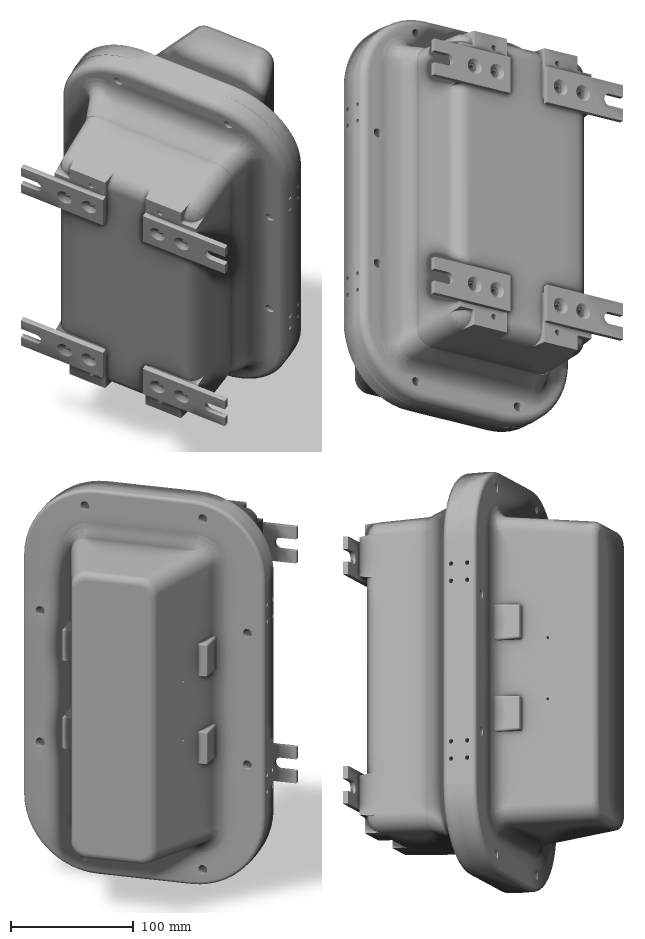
import cadquery as cq
import math

SIDES = (-1, 1)
QUADRANTS = [(side_x, side_z) for side_x in SIDES for side_z in SIDES]
TINY = 0.3
CLEARANCE = 3.3

FLANGE_HALF_X = 103.5
FLANGE_HALF_Z = 166.0
FLANGE_DRAFT = 1.0
HOUSING_FLANGE_DEPTH = 15.0
HOUSING_FLANGE_CORNER = 64.5
HOUSING_FLANGE_ROUND = 6.0
COVER_FLANGE_DEPTH = 14.3
COVER_FLANGE_CORNER = 63.5
COVER_FLANGE_ROUND = 3.0

FLANGE_HOLE_D = 7.5
END_HOLE_X, END_HOLE_Z = 50.5, 151.5
SIDE_HOLE_X, SIDE_HOLE_Z = 88.7, 56.8
EDGE_HOLE_D = 3.5
EDGE_HOLE_DEPTH = 8.3
EDGE_HOLE_Y = 7.0
EDGE_HOLE_Z = (66.5, 80.7)

NECK_END_Y = -40.2
NECK_DRAFT = 18.5
TUB_HALF_X, TUB_HALF_Z = 67.0, 130.0
TUB_DRAFT = 2.0
TUB_FRONT_Y = -95.5
TUB_CORNER_ROUND = 13.3
TUB_FRONT_ROUND = 12.0
NECK_ROUND = 12.0

FOOT_Y = -98.7
FOOT_ROOT_Y = -83.0
FOOT_DRAFT = 7.0
FOOT_CORNER_ROUND = 5.0
FOOT_INNER_X, FOOT_INNER_Z = 16.5, 80.5
FOOT_NOTCH_X, FOOT_NOTCH_Z = 53.0, 117.0
FOOT_HOLE_D = 5.0
FOOT_HOLE_DEPTH = 10.0
FOOT_HOLE_Z = 117.0
DRILL_POINT_ANGLE = 118.0

BRACKET_THICKNESS = 4.3
BRACKET_INNER_X, BRACKET_OUTER_X = 18.3, 93.7
BRACKET_HEIGHT = 31.2
BRACKET_Z = 95.0
SCREW_X = (31.5, 53.8)
SCREW_HOLE_D = 7.3
COUNTERSINK_D = 13.5
COUNTERSINK_ANGLE = 90.0
SLOT_WIDTH = 10.3
SLOT_END_X = 75.0

DOME_TOP_Y = 95.7
DOME_TOP_HALF_X, DOME_TOP_HALF_Z = 35.2, 123.3
DOME_DRAFT_X, DOME_DRAFT_Z = 18.4, 3.2
DOME_CORNER_ROUND = 13.0
DOME_TOP_ROUND = 6.0
DOME_ROOT_ROUND = 10.0
LUG_TOP_Y = 38.0
LUG_HALF_X = 63.8
LUG_WIDTH = 31.2
LUG_Z = 38.0
LUG_DRAFT = 2.5
LUG_ROUND = 1.5
PIN_HOLE_D = 2.2
PIN_HOLE_DEPTH = 6.5
PIN_HOLE_Y, PIN_HOLE_Z = 57.5, 25.42


def widening(length, draft):
    """Sideways run of a wall of the given length at the given draft angle."""
    return length * math.tan(math.radians(draft))


def drafted_block(low_y, low_half, high_y, high_half):
    """Four-sided block between two rectangles, given as (half X, half Z), at low_y and high_y."""
    low_x, low_z = low_half
    high_x, high_z = high_half
    block = cq.Solid.makeWedge(
        2 * low_x, high_y - low_y, 2 * low_z,
        low_x - high_x, low_z - high_z, low_x + high_x, low_z + high_z,
    )
    return cq.Workplane(block.translate(cq.Vector(-low_x, low_y, -low_z)))


def round_wall_corners(body, radius):
    """Round the edges that run along Y between neighbouring walls."""
    corners = body.edges().filter(lambda edge: edge.BoundingBox().ylen > TINY)
    return corners.fillet(radius)


def round_root(body, plane_y, half_x, half_z, radius):
    """Round the concave edge where a drafted wall meets the flange face."""
    slab = cq.selectors.BoxSelector(
        (-half_x, plane_y - TINY, -half_z), (half_x, plane_y + TINY, half_z), boundingbox=True
    )
    return body.edges(slab).fillet(radius)


def flange(depth, corner, edge_round):
    """Rounded flange plate on the +Y side of the joint plane; its outer face is edge-rounded."""
    plate = (
        cq.Workplane("XZ")
        .sketch()
        .rect(2 * FLANGE_HALF_X, 2 * FLANGE_HALF_Z)
        .vertices()
        .fillet(corner)
        .finalize()
        .extrude(depth, taper=FLANGE_DRAFT)
    )
    return plate.faces("<Y").edges().fillet(edge_round).mirror("XZ")


def rod_along_y(diameter, x, z, start_y, end_y):
    """Round rod along Y, centred on the given X and Z."""
    return cq.Workplane("XZ", origin=(x, start_y, z)).circle(diameter / 2).extrude(start_y - end_y)


def cut_flange_holes(body, depth_y):
    """Through holes near the ends and along the long sides of the flange."""
    for side_x, side_z in QUADRANTS:
        for x, z in ((END_HOLE_X, END_HOLE_Z), (SIDE_HOLE_X, SIDE_HOLE_Z)):
            body = body.cut(rod_along_y(FLANGE_HOLE_D, side_x * x, side_z * z, 0, depth_y))
    return body


def cut_edge_holes(body, y):
    """Blind holes drilled along X into both long edges of the flange."""
    for side_x, side_z in QUADRANTS:
        for z in EDGE_HOLE_Z:
            start = (side_x * FLANGE_HALF_X, y, side_z * z)
            drill = cq.Workplane("YZ", origin=start).circle(EDGE_HOLE_D / 2)
            body = body.cut(drill.extrude(-side_x * EDGE_HOLE_DEPTH))
    return body


def tub_half_sizes(y):
    """Half X and half Z of the housing box at y, before its corners are rounded."""
    narrowing = widening(NECK_END_Y - y, TUB_DRAFT)
    return TUB_HALF_X - narrowing, TUB_HALF_Z - narrowing


def tub():
    """Neck and box with rounded wall corners and a rounded front."""
    flare = widening(NECK_END_Y + HOUSING_FLANGE_DEPTH, -NECK_DRAFT)
    neck_top = (TUB_HALF_X + flare, TUB_HALF_Z + flare)
    tub_rim = (TUB_HALF_X, TUB_HALF_Z)
    neck = drafted_block(NECK_END_Y, tub_rim, -HOUSING_FLANGE_DEPTH, neck_top)
    box = drafted_block(TUB_FRONT_Y, tub_half_sizes(TUB_FRONT_Y), NECK_END_Y, tub_rim)
    neck = round_wall_corners(neck, TUB_CORNER_ROUND)
    box = round_wall_corners(box, TUB_CORNER_ROUND)
    return neck.union(box.faces("<Y").edges().fillet(TUB_FRONT_ROUND))


def blind_hole(x, z):
    """Drilled hole with a conical bottom, opening on the foot face."""
    radius = FOOT_HOLE_D / 2
    point = radius / math.tan(math.radians(DRILL_POINT_ANGLE / 2))
    profile = [(0, 0), (radius, 0), (radius, FOOT_HOLE_DEPTH), (0, FOOT_HOLE_DEPTH + point)]
    drill = cq.Workplane("XY").polyline(profile).close().revolve(360, (0, 0, 0), (0, 1, 0))
    return drill.translate((x, FOOT_Y, z))


def feet():
    """Four L-shaped feet, flush with the tub walls and notched at the rounded tub corners."""
    envelope = drafted_block(
        FOOT_Y, tub_half_sizes(FOOT_Y), FOOT_ROOT_Y, tub_half_sizes(FOOT_ROOT_Y)
    )
    beyond_x, beyond_z = TUB_HALF_X + CLEARANCE, TUB_HALF_Z + CLEARANCE
    outline = [
        (FOOT_INNER_X, FOOT_INNER_Z),
        (beyond_x, FOOT_INNER_Z),
        (beyond_x, FOOT_NOTCH_Z),
        (FOOT_NOTCH_X, FOOT_NOTCH_Z),
        (FOOT_NOTCH_X, beyond_z),
        (FOOT_INNER_X, beyond_z),
    ]
    inner_corner = (FOOT_INNER_X, (FOOT_ROOT_Y + FOOT_Y) / 2, FOOT_INNER_Z)
    foot = (
        cq.Workplane("XZ", origin=(0, FOOT_ROOT_Y, 0))
        .polyline(outline)
        .close()
        .extrude(FOOT_ROOT_Y - FOOT_Y, taper=FOOT_DRAFT)
        .edges(cq.selectors.NearestToPointSelector(inner_corner))
        .fillet(FOOT_CORNER_ROUND)
        .intersect(envelope)
    )
    pair = foot.union(foot.mirror("YZ"))
    return pair.union(pair.mirror("XY"))


def make_housing():
    """Housing: flange plate, tub and feet, with its bolt, edge and screw holes."""
    plate = flange(HOUSING_FLANGE_DEPTH, HOUSING_FLANGE_CORNER, HOUSING_FLANGE_ROUND).mirror("XZ")
    body = plate.union(tub())
    body = round_root(body, -HOUSING_FLANGE_DEPTH, SIDE_HOLE_X, END_HOLE_Z, NECK_ROUND)
    body = body.union(feet())
    for side_x, side_z in QUADRANTS:
        body = body.cut(blind_hole(side_x * SCREW_X[0], side_z * FOOT_HOLE_Z))
        for x in SCREW_X:
            body = body.cut(blind_hole(side_x * x, side_z * BRACKET_Z))
    body = cut_flange_holes(body, -HOUSING_FLANGE_DEPTH)
    return cut_edge_holes(body, -EDGE_HOLE_Y)


def lugs():
    """Two bars across the dome whose ends stand out as lugs on its long sides."""
    bar = (
        cq.Workplane("XZ")
        .rect(2 * LUG_HALF_X, LUG_WIDTH)
        .extrude(LUG_TOP_Y, taper=LUG_DRAFT)
        .mirror("XZ")
    )
    bar = round_wall_corners(bar, LUG_ROUND)
    bar = bar.faces(">Y").edges().fillet(LUG_ROUND / 2)
    return [bar.translate((0, 0, side_z * LUG_Z)) for side_z in SIDES]


def make_cover():
    """Cover: flange plate, drafted dome and lugs, with its bolt, edge and pin holes."""
    height = DOME_TOP_Y - COVER_FLANGE_DEPTH
    dome_root = (
        DOME_TOP_HALF_X + widening(height, DOME_DRAFT_X),
        DOME_TOP_HALF_Z + widening(height, DOME_DRAFT_Z),
    )
    dome_top = (DOME_TOP_HALF_X, DOME_TOP_HALF_Z)
    dome = drafted_block(COVER_FLANGE_DEPTH, dome_root, DOME_TOP_Y, dome_top)
    dome = round_wall_corners(dome, DOME_CORNER_ROUND)
    dome = dome.faces(">Y").edges().fillet(DOME_TOP_ROUND)
    body = flange(COVER_FLANGE_DEPTH, COVER_FLANGE_CORNER, COVER_FLANGE_ROUND).union(dome)
    body = round_root(body, COVER_FLANGE_DEPTH, SIDE_HOLE_X, END_HOLE_Z, DOME_ROOT_ROUND)
    for lug in lugs():
        body = body.union(lug)
    wall_x = DOME_TOP_HALF_X + widening(DOME_TOP_Y - PIN_HOLE_Y, DOME_DRAFT_X)
    for side_x, side_z in QUADRANTS:
        start = (side_x * (wall_x + CLEARANCE), PIN_HOLE_Y, side_z * PIN_HOLE_Z)
        drill = cq.Workplane("YZ", origin=start).circle(PIN_HOLE_D / 2)
        body = body.cut(drill.extrude(-side_x * (PIN_HOLE_DEPTH + CLEARANCE)))
    body = cut_flange_holes(body, COVER_FLANGE_DEPTH)
    return cut_edge_holes(body, EDGE_HOLE_Y)


def make_bracket(side_x, side_z):
    """Flat bar with two countersunk screw holes and an open slot at its outer end."""
    length = BRACKET_OUTER_X - BRACKET_INNER_X
    middle_x = (BRACKET_OUTER_X + BRACKET_INNER_X) / 2
    bar = (
        cq.Workplane("XZ", origin=(middle_x, FOOT_Y, BRACKET_Z))
        .rect(length, BRACKET_HEIGHT)
        .extrude(BRACKET_THICKNESS)
    )
    bar = (
        bar.faces("<Y")
        .workplane(origin=(0, FOOT_Y - BRACKET_THICKNESS, BRACKET_Z))
        .pushPoints([(x, 0) for x in SCREW_X])
        .cskHole(SCREW_HOLE_D, COUNTERSINK_D, COUNTERSINK_ANGLE)
    )
    slot_length = 2 * (BRACKET_OUTER_X - SLOT_END_X)
    slot = (
        cq.Workplane("XZ", origin=(BRACKET_OUTER_X, FOOT_Y, BRACKET_Z))
        .slot2D(slot_length, SLOT_WIDTH)
        .extrude(BRACKET_THICKNESS)
    )
    bar = bar.cut(slot)
    if side_x < 0:
        bar = bar.mirror("YZ")
    if side_z < 0:
        bar = bar.mirror("XY")
    return bar


housing = make_housing()
cover = make_cover()
brackets = [make_bracket(side_x, side_z) for side_x, side_z in QUADRANTS]

result = cq.Compound.makeCompound(
    [body.solids().val() for body in (housing, cover, *brackets)]
)